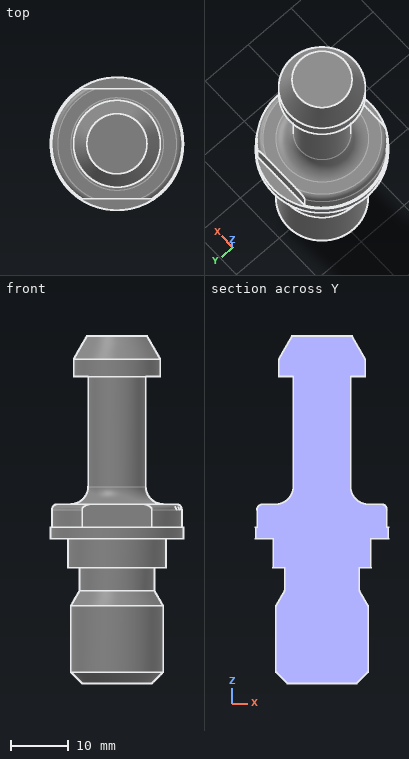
import cadquery as cq
import math


thread_dia = 16.0
relief_dia = 13.0
pilot_dia = 17.0
collar_dia = 23.0
wrench_dia = 22.5
neck_dia = 10.0
head_dia = 15.0

pilot_bottom = 20.0
collar_bottom = 25.0
wrench_bottom = 27.0
wrench_top = 31.0
head_bottom = 53.0
overall_height = 60.0

cone_angle = 30.0
thread_chamfer = 2.0
relief_length = 4.0
head_cone_length = 4.0
neck_fillet = 3.0
wrench_edge_round = 1.0
across_flats = 19.0

cone_slope = math.tan(math.radians(cone_angle))
relief_bottom = pilot_bottom - relief_length
thread_top = relief_bottom - (thread_dia - relief_dia) / 2 / cone_slope
head_cone_bottom = overall_height - head_cone_length
head_top_dia = head_dia - 2 * head_cone_length * cone_slope


def cylinder(diameter, bottom, top):
    """Cylinder on the Z axis between two heights."""
    return cq.Workplane("XY").workplane(offset=bottom).circle(diameter / 2).extrude(top - bottom)


def cone(bottom_dia, top_dia, bottom, top):
    """Cone frustum on the Z axis between two heights."""
    frustum = cq.Solid.makeCone(bottom_dia / 2, top_dia / 2, top - bottom, pnt=cq.Vector(0, 0, bottom))
    return cq.Workplane("XY").newObject([frustum])


def make_shank():
    """Threaded end as a plain cylinder, with its relief groove and pilot."""
    thread = cylinder(thread_dia, 0, thread_top).faces("<Z").chamfer(thread_chamfer)
    taper = cone(thread_dia, relief_dia, thread_top, relief_bottom)
    relief = cylinder(relief_dia, relief_bottom, pilot_bottom)
    pilot = cylinder(pilot_dia, pilot_bottom, collar_bottom)
    return thread.union(taper).union(relief).union(pilot)


def make_flange():
    """Round collar carrying a round-edged disc with two wrench flats facing -Y and +Y."""
    collar = cylinder(collar_dia, collar_bottom, wrench_bottom)
    disc = cylinder(wrench_dia, wrench_bottom, wrench_top).faces(">Z").edges().fillet(wrench_edge_round)
    flats = (
        cq.Workplane("XY")
        .workplane(offset=wrench_bottom)
        .rect(collar_dia, across_flats)
        .extrude(wrench_top - wrench_bottom)
    )
    return collar.union(disc.intersect(flats))


def make_neck():
    """Slim neck that flares into the flange with a concave quarter round."""
    neck_radius = neck_dia / 2
    flare_radius = neck_radius + neck_fillet
    flare_top = wrench_top + neck_fillet
    arc_offset = neck_fillet * (1 - math.sqrt(0.5))
    return (
        cq.Workplane("XZ")
        .moveTo(0, wrench_top)
        .lineTo(flare_radius, wrench_top)
        .threePointArc((neck_radius + arc_offset, wrench_top + arc_offset), (neck_radius, flare_top))
        .lineTo(neck_radius, head_bottom)
        .lineTo(0, head_bottom)
        .close()
        .revolve(360, (0, 0, 0), (0, 1, 0))
    )


def make_head():
    """Gripping knob with a conical top."""
    rim = cylinder(head_dia, head_bottom, head_cone_bottom)
    return rim.union(cone(head_dia, head_top_dia, head_cone_bottom, overall_height))


result = make_shank().union(make_flange()).union(make_neck()).union(make_head())